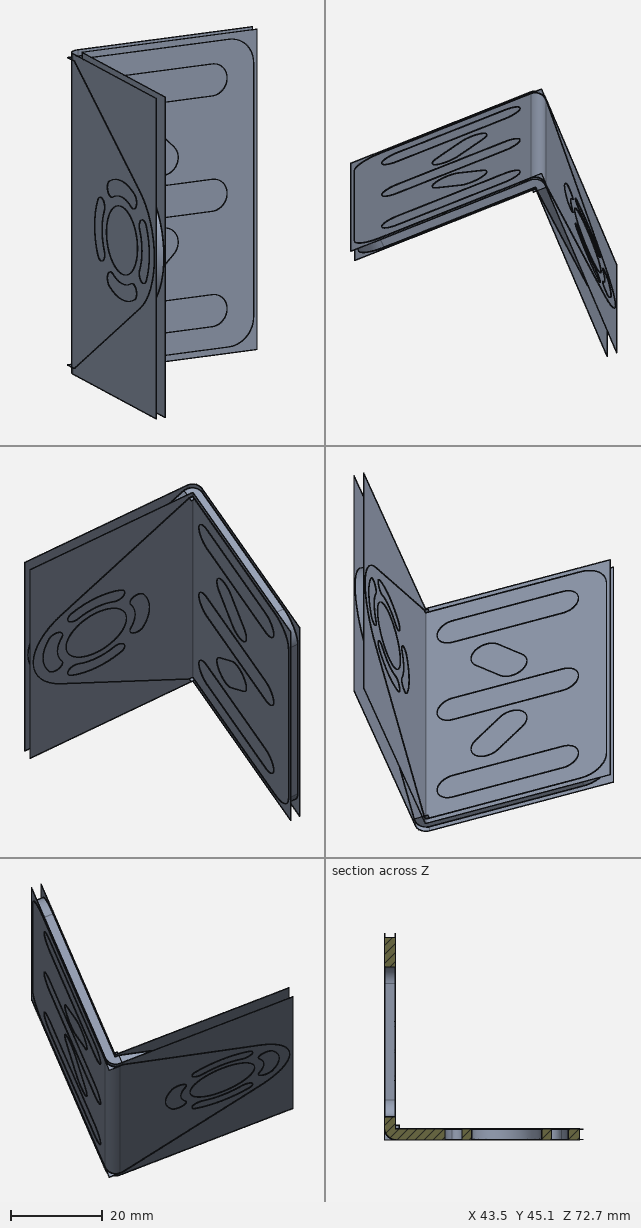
import cadquery as cq
import math


height = 72.65
x_leg_length = 43.45
y_leg_length = 45.1

plate_thickness = 2.5
bend_radius = 2.55
bend_length = 3.3
core_margin = 1.45
core_bottom = core_margin
core_top = height - core_margin
mid_height = height / 2

skin_thickness = 0.1
skin_inset = 0.1

nose_center_x = 26.7
nose_radius = 15.9
hub_hole_radius = 7.6
curved_slot_path_radius = 11.6
curved_slot_end_radius = 1.8
curved_slot_half_angle = 27.5
curved_slot_count = 4

y_core_end = 44.25
y_core_corner_radius = 6.0
slot_width = 7.3
long_slot_length = 32.7
long_slot_center_y = 21.4
long_slot_pitch = 26.15
slanted_slot_length = 15.25
slanted_slot_center_y = 19.4
slanted_slot_offset_z = 12.4
slant_angle = 45.0


def bent_sheet(depth, thickness, x_end, y_end, bottom, top):
    """L-shaped sheet whose outer face lies `depth` below the outer face of the bracket."""
    inner = depth + thickness
    diagonal = math.sqrt(0.5)
    outer_mid = bend_radius - (bend_radius - depth) * diagonal
    inner_mid = bend_radius - (bend_radius - inner) * diagonal
    return (
        cq.Workplane("XY", origin=(0, 0, bottom))
        .moveTo(x_end, depth)
        .lineTo(bend_radius, depth)
        .threePointArc((outer_mid, outer_mid), (depth, bend_radius))
        .lineTo(depth, y_end)
        .lineTo(inner, y_end)
        .lineTo(inner, bend_radius)
        .threePointArc((inner_mid, inner_mid), (bend_radius, inner))
        .lineTo(x_end, inner)
        .close()
        .extrude(top - bottom)
    )


def x_leg_plane():
    """XZ plane on the inner face of the X leg; extrusion runs out to the -Y face."""
    return cq.Workplane("XZ", origin=(0, plate_thickness, 0))


def y_leg_plane():
    """YZ plane on the outer face of the Y leg; extrusion runs toward +X."""
    return cq.Workplane("YZ")


def curved_slot(direction):
    """Slot with round ends along an arc about the nose center, centered on `direction` degrees."""
    def at(radius, angle):
        turn = math.radians(angle)
        return nose_center_x + radius * math.cos(turn), mid_height + radius * math.sin(turn)

    outer = curved_slot_path_radius + curved_slot_end_radius
    inner = curved_slot_path_radius - curved_slot_end_radius
    start = direction - curved_slot_half_angle
    end = direction + curved_slot_half_angle
    return (
        x_leg_plane()
        .moveTo(*at(outer, start))
        .threePointArc(at(outer, direction), at(outer, end))
        .tangentArcPoint(at(inner, end), relative=False)
        .threePointArc(at(inner, direction), at(inner, start))
        .tangentArcPoint(at(outer, start), relative=False)
        .close()
        .extrude(plate_thickness)
    )


def x_leg_core():
    """Plate tapering from the bend to a round nose, with a hub hole and curved slots."""
    root_x = bend_length - nose_center_x
    root_z = core_top - mid_height
    tangent_angle = math.atan2(root_z, root_x) - math.acos(nose_radius / math.hypot(root_x, root_z))
    tangent_x = nose_center_x + nose_radius * math.cos(tangent_angle)
    tangent_rise = nose_radius * math.sin(tangent_angle)
    leg = (
        x_leg_plane()
        .moveTo(bend_length, core_bottom)
        .lineTo(tangent_x, mid_height - tangent_rise)
        .threePointArc((nose_center_x + nose_radius, mid_height), (tangent_x, mid_height + tangent_rise))
        .lineTo(bend_length, core_top)
        .close()
        .extrude(plate_thickness)
    )
    hub_hole = x_leg_plane().center(nose_center_x, mid_height).circle(hub_hole_radius)
    leg = leg.cut(hub_hole.extrude(plate_thickness))
    for index in range(curved_slot_count):
        leg = leg.cut(curved_slot(index * 360 / curved_slot_count))
    return leg


def straight_slot(center_y, center_z, length, angle):
    """Round-ended slot through the Y leg, turned `angle` degrees from the Y direction."""
    return (
        y_leg_plane()
        .center(center_y, center_z)
        .slot2D(length, slot_width, angle)
        .extrude(plate_thickness)
    )


def y_leg_core():
    """Plate with two rounded free corners, three long slots and two slanted ones."""
    leg = (
        cq.Workplane("XY")
        .box(plate_thickness, y_core_end - bend_length, core_top - core_bottom, centered=False)
        .translate((0, bend_length, core_bottom))
        .edges("|X and >Y")
        .fillet(y_core_corner_radius)
    )
    for row in (-1, 0, 1):
        center_z = mid_height + row * long_slot_pitch
        leg = leg.cut(straight_slot(long_slot_center_y, center_z, long_slot_length, 0))
    for side in (-1, 1):
        center_z = mid_height + side * slanted_slot_offset_z
        angle = -side * slant_angle
        leg = leg.cut(straight_slot(slanted_slot_center_y, center_z, slanted_slot_length, angle))
    return leg


def corner_tab(bottom):
    """Thin square tab filling the corner at one end of the bend core."""
    return (
        cq.Workplane("XY")
        .box(bend_length, bend_length, skin_thickness, centered=False)
        .translate((0, 0, bottom))
    )


bend_core = bent_sheet(0, plate_thickness, bend_length, bend_length, core_bottom, core_top)
inner_skin_depth = plate_thickness - skin_inset - skin_thickness

result = bend_core.union(x_leg_core()).union(y_leg_core())
for skin_depth in (skin_inset, inner_skin_depth):
    result = result.union(bent_sheet(skin_depth, skin_thickness, x_leg_length, y_leg_length, 0, height))
for tab_bottom in (core_bottom, core_top - skin_thickness):
    result = result.union(corner_tab(tab_bottom))